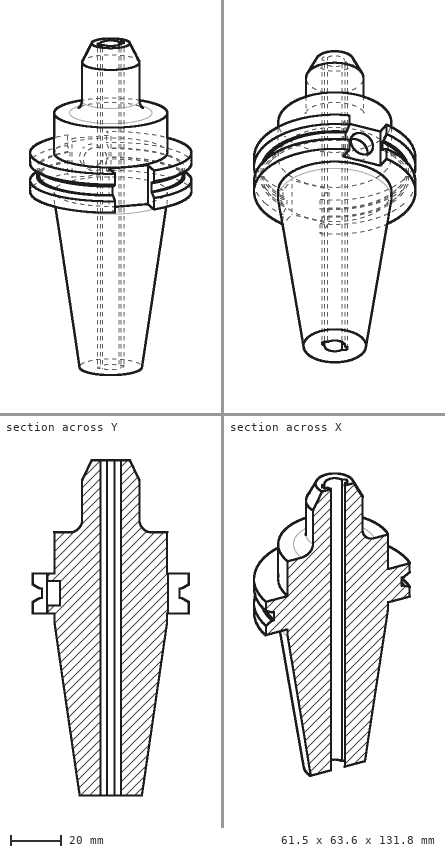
import cadquery as cq
import math

total_length = 131.8

gauge_radius = 22.3
taper_height = 68.2
taper_ratio = 7 / 24
taper_end_radius = gauge_radius - taper_height * taper_ratio / 2

flange_radius = 31.8
flange_bottom = 71.4
flange_top = 87.2
flange_middle = (flange_bottom + flange_top) / 2
groove_floor_radius = 28.2
groove_floor_width = 3.7
groove_mouth_width = 6.9
groove_side_angle = 60
groove_middle = 79.5

body_top = 103.4
nose_radius = 11.3
nose_fillet = 4.9
nose_tip_radius = 7.5
nose_cone_height = 7.8

slot_width = 16.1
deep_slot_floor = 25.0
shallow_slot_floor = 22.5

dimple_diameter = 9.6
dimple_depth = 5.0

bore_diameter = 8.0
bore_groove_width = 2.8
bore_groove_span = 10.8


def turned_body():
    """Solid of revolution holding the shank, flange, body and nose."""
    groove_mouth_bottom = groove_middle - groove_mouth_width / 2
    groove_mouth_top = groove_middle + groove_mouth_width / 2
    groove_floor_bottom = groove_middle - groove_floor_width / 2
    groove_floor_top = groove_middle + groove_floor_width / 2
    groove_side_height = (groove_mouth_width - groove_floor_width) / 2
    ledge_radius = flange_radius - groove_side_height * math.tan(math.radians(groove_side_angle))
    return (
        cq.Workplane("XZ")
        .lineTo(taper_end_radius, 0)
        .lineTo(gauge_radius, taper_height)
        .lineTo(gauge_radius, flange_bottom)
        .lineTo(flange_radius, flange_bottom)
        .lineTo(flange_radius, groove_mouth_bottom)
        .lineTo(ledge_radius, groove_floor_bottom)
        .lineTo(groove_floor_radius, groove_floor_bottom)
        .lineTo(groove_floor_radius, groove_floor_top)
        .lineTo(ledge_radius, groove_floor_top)
        .lineTo(flange_radius, groove_mouth_top)
        .lineTo(flange_radius, flange_top)
        .lineTo(gauge_radius, flange_top)
        .lineTo(gauge_radius, body_top)
        .lineTo(nose_radius + nose_fillet, body_top)
        .radiusArc((nose_radius, body_top + nose_fillet), nose_fillet)
        .lineTo(nose_radius, total_length - nose_cone_height)
        .lineTo(nose_tip_radius, total_length)
        .lineTo(0, total_length)
        .close()
        .revolve(360, (0, 0, 0), (0, 1, 0))
    )


def drive_slot(side, floor_distance):
    """Cutter for a slot on the given side (-1 or +1) along X, open at the rim."""
    radial_length = flange_radius - floor_distance
    return (
        cq.Workplane("XY")
        .box(radial_length, slot_width, flange_top - flange_bottom)
        .translate((side * (floor_distance + radial_length / 2), 0, flange_middle))
    )


def dimple():
    """Cutter for the blind hole running inward from the deep slot floor."""
    return (
        cq.Workplane("YZ", origin=(-deep_slot_floor, 0, groove_middle))
        .circle(dimple_diameter / 2)
        .extrude(dimple_depth)
    )


def grooved_bore():
    """Cutter for the axial bore and its two grooves, which lie along Y."""
    bore = cq.Workplane("XY").circle(bore_diameter / 2).extrude(total_length)
    grooves = cq.Workplane("XY").slot2D(bore_groove_span, bore_groove_width, 90).extrude(total_length)
    return bore.union(grooves)


result = (
    turned_body()
    .cut(drive_slot(-1, deep_slot_floor))
    .cut(drive_slot(1, shallow_slot_floor))
    .cut(dimple())
    .cut(grooved_bore())
)